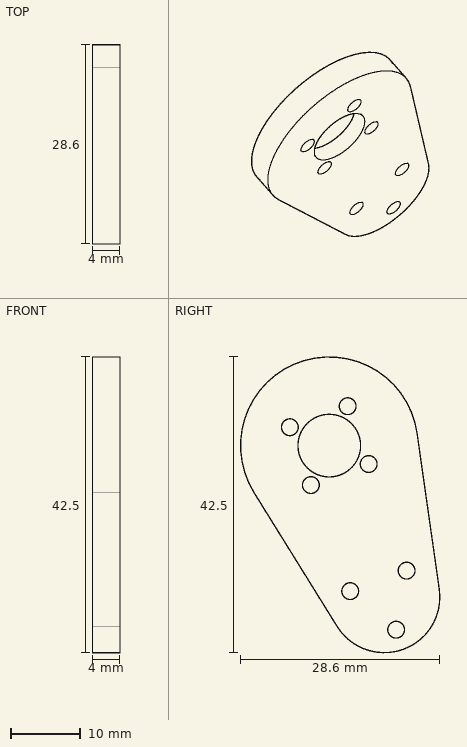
import cadquery as cq
import math

thickness = 4.0
large_radius = 12.75
small_radius = 8.0
small_end_y = 7.9
small_end_z = -21.8

bore_diameter = 9.0
recess_diameter = 17.4
recess_depth = 1.5
screw_diameter = 2.4

large_pattern_radius = 6.25
large_pattern_count = 4
large_pattern_start = 65.0
small_pattern_radius = 5.0
small_pattern_count = 3

end_spacing = math.hypot(small_end_y, small_end_z)
arm_angle = math.degrees(math.atan2(small_end_z, small_end_y))


def polar(radius, angle, center=(0, 0)):
    """Point in the YZ plane; the angle runs from +Y towards +Z."""
    turn = math.radians(angle)
    return (center[0] + radius * math.cos(turn), center[1] + radius * math.sin(turn))


def cylinder(center, diameter, depth):
    """Cylinder along +X starting on the -X face."""
    return cq.Workplane("YZ").center(*center).circle(diameter / 2).extrude(depth)


def make_plate():
    """Two rounded ends joined by their common tangents."""
    small_center = (small_end_y, small_end_z)
    tangent_offset = math.degrees(math.acos((large_radius - small_radius) / end_spacing))
    first_side = arm_angle + tangent_offset
    second_side = arm_angle - tangent_offset
    return (
        cq.Workplane("YZ")
        .moveTo(*polar(large_radius, first_side))
        .threePointArc(
            polar(large_radius, arm_angle + 180),
            polar(large_radius, second_side),
        )
        .lineTo(*polar(small_radius, second_side, small_center))
        .threePointArc(
            polar(small_radius, arm_angle, small_center),
            polar(small_radius, first_side, small_center),
        )
        .close()
        .extrude(thickness)
    )


def cut_screw_circle(plate, center, radius, count, start_angle):
    """Drill evenly spaced screw holes through the plate."""
    for index in range(count):
        hole_center = polar(radius, start_angle + index * 360 / count, center)
        plate = plate.cut(cylinder(hole_center, screw_diameter, thickness))
    return plate


result = make_plate()

result = result.cut(cylinder((0, 0), recess_diameter, recess_depth))
result = result.cut(cylinder((0, 0), bore_diameter, thickness))

result = cut_screw_circle(
    result, (0, 0), large_pattern_radius, large_pattern_count, large_pattern_start
)

result = cut_screw_circle(
    result, (small_end_y, small_end_z), small_pattern_radius, small_pattern_count, arm_angle
)